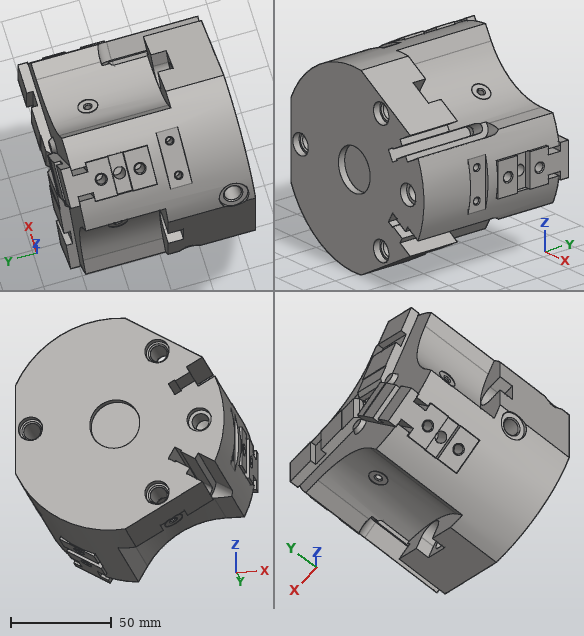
import cadquery as cq
import math


JAW_ANGLES = (0, 120, 240)
SCALLOP_ANGLES = (60, 180, 300)
BRACKET_ANGLES = (0, 120)
SENSOR_ANGLES = (30, 330)

BODY_RADIUS = 55.0
FLAT_DISTANCE = 50.0
COVER_BOTTOM = 78.6
COVER_TOP = 86.4
REACH = 2 * BODY_RADIUS

JAW_WIDTH = 20.1
JAW_TIP = 5.8
JAW_END = 55.4
JAW_BOTTOM = 46.7
JAW_TOP = 91.5
NECK_WIDTH = 10.8
COVER_SLOT_WIDTH = 16.2
JAW_TIP_BEVEL = 2.1
TIP_STEP_RADIUS = 16.5
TIP_STEP_DEPTH = 0.3
KEYWAY_RADIUS = 36.0
KEYWAY_WIDTH = 7.9
KEYWAY_DEPTH = 3.3
END_GROOVE_CENTER = 63.1
END_GROOVE_HEIGHT = 7.9
END_GROOVE_DEPTH = 3.5
END_HOLE_PITCH = 10.0
END_HOLE_DIAMETER = 5.0
END_HOLE_COUNTERSINK = 6.0
GROOVE_HOLE_DIAMETER = 6.0
END_HOLE_DEPTH = 13.2

SCALLOP_WALL_OFFSET = 24.1
SCALLOP_WALL_LENGTH = 9.1
SCALLOP_FLOORS = {60: 30.0, 180: 45.2, 300: 30.0}
SCALLOP_HOLE_HEIGHT = 66.6
SCALLOP_SPOT_DIAMETER = 10.0
SCALLOP_SPOT_DEPTH = 0.1
SCALLOP_HOLE_DIAMETER = 3.3
SCALLOP_HOLE_RIM = 4.4
SCALLOP_HOLE_DEPTH = 8.8

MOUNT_CIRCLE_RADIUS = 42.5
MOUNT_HOLE_DIAMETER = 8.5
MOUNT_RIM_DIAMETER = 10.0
MOUNT_BORE_DIAMETER = 12.1
MOUNT_BORE_DEPTH = 4.0
BLIND_HOLE_DEPTH = 15.4
DRILL_POINT_ANGLE = 118
HEAD_SLOT_WIDTH = 14.1
HEAD_SLOT_DEPTH = 7.9
CENTER_RECESS_DIAMETER = 25.1
CENTER_RECESS_DEPTH = 4.0

BRACKET_FLAT_DISTANCE = 53.0
BRACKET_FLAT_BOTTOM = 29.6
BRACKET_FLAT_TOP = 40.7
BRACKET_HOLE_SPACING = 17.9
BRACKET_HOLE_DIAMETER = 3.3
BRACKET_HOLE_COUNTERSINK = 4.3
BRACKET_HOLE_DEPTH = 8.8

AIR_PORTS = ((150, 10.5), (210, 34.1))
PORT_SPOT_DISTANCE = 53.0
PORT_SPOT_DIAMETER = 15.1
PORT_HOLE_DIAMETER = 8.7
PORT_COUNTERSINK = 9.9
PORT_DEPTH = 11.2

CHANNEL_TOP_CENTER = 47.2
CHANNEL_WIDTH = 11.9
CHANNEL_FLOOR = 45.1
SENSOR_SLOT_WIDTH = 5.3
SENSOR_HEAD_WIDTH = 6.6
SENSOR_HEAD_START = 33.0
SENSOR_HEAD_END = 36.7

SCREW_HEAD_BASE = 8.8
SCREW_HEAD_TOP = 5.7
SCREW_HEAD_HEIGHT = 2.4
SCREW_CIRCLE_RADIUS = 16.2


def radial_direction(angle):
    return cq.Vector(math.cos(math.radians(angle)), 0, math.sin(math.radians(angle)))


def axial_plane(angle, height):
    """Workplane facing +Y whose local x points outward at the given angle."""
    return cq.Workplane(cq.Plane((0, height, 0), radial_direction(angle), (0, 1, 0)))


def radial_plane(angle, distance, height):
    """Workplane facing outward whose local x is Y and local y is tangential."""
    outward = radial_direction(angle)
    origin = outward * distance + cq.Vector(0, height, 0)
    return cq.Workplane(cq.Plane(origin, (0, 1, 0), outward))


def radial_box(angle, start, end, width, bottom, top):
    """Box reaching outward from start to end, centred on the radial line."""
    return (
        axial_plane(angle, bottom)
        .center((start + end) / 2, 0)
        .rect(end - start, width)
        .extrude(top - bottom)
    )


def blind_hole(plane, diameter, depth, rim_diameter=None):
    """Cutter for a flat-bottomed hole going in from the plane, with an optional 45 degree rim."""
    hole = plane.circle(diameter / 2).extrude(-depth)
    if rim_diameter:
        rim_depth = (rim_diameter - diameter) / 2
        hole = hole.union(plane.circle(rim_diameter / 2).extrude(-rim_depth, taper=45))
    return hole


def jaw_profile():
    """Side outline of a jaw as (radius, height) points, starting at the lower inner corner."""
    groove_floor = JAW_END - END_GROOVE_DEPTH
    groove_bottom = END_GROOVE_CENTER - END_GROOVE_HEIGHT / 2
    groove_top = END_GROOVE_CENTER + END_GROOVE_HEIGHT / 2
    keyway_outer = KEYWAY_RADIUS + KEYWAY_WIDTH / 2
    keyway_inner = KEYWAY_RADIUS - KEYWAY_WIDTH / 2
    keyway_floor = JAW_TOP - KEYWAY_DEPTH
    tip_top = JAW_TOP - TIP_STEP_DEPTH
    return [
        (JAW_TIP, JAW_BOTTOM),
        (JAW_END, JAW_BOTTOM),
        (JAW_END, groove_bottom),
        (groove_floor, groove_bottom),
        (groove_floor, groove_top),
        (JAW_END, groove_top),
        (JAW_END, JAW_TOP),
        (keyway_outer, JAW_TOP),
        (keyway_outer, keyway_floor),
        (keyway_inner, keyway_floor),
        (keyway_inner, JAW_TOP),
        (TIP_STEP_RADIUS, JAW_TOP),
        (TIP_STEP_RADIUS, tip_top),
        (JAW_TIP + JAW_TIP_BEVEL, tip_top),
        (JAW_TIP, tip_top - JAW_TIP_BEVEL),
    ]


def make_jaw(angle):
    outward = radial_direction(angle)
    side_plane = cq.Plane((0, 0, 0), outward, outward.cross(cq.Vector(0, 1, 0)))
    jaw = cq.Workplane(side_plane).polyline(jaw_profile()).close().extrude(JAW_WIDTH / 2, both=True)

    grooves = radial_box(angle, 0, REACH, REACH, COVER_BOTTOM, COVER_TOP)
    neck = radial_box(angle, 0, REACH, NECK_WIDTH, COVER_BOTTOM, COVER_TOP)
    jaw = jaw.cut(grooves.cut(neck))

    for offset in (-END_HOLE_PITCH, END_HOLE_PITCH):
        end_plane = radial_plane(angle, JAW_END, END_GROOVE_CENTER + offset)
        jaw = jaw.cut(blind_hole(end_plane, END_HOLE_DIAMETER, END_HOLE_DEPTH, END_HOLE_COUNTERSINK))
    groove_plane = radial_plane(angle, JAW_END - END_GROOVE_DEPTH, END_GROOVE_CENTER)
    return jaw.cut(blind_hole(groove_plane, GROOVE_HOLE_DIAMETER, END_HOLE_DEPTH))


def scallop_points():
    """Upper wall overrun, upper arc end and deepest radius, in (outward, tangential) coordinates."""
    corner_angle = math.radians(60) - math.asin(SCALLOP_WALL_OFFSET / BODY_RADIUS)
    corner = (BODY_RADIUS * math.cos(corner_angle), BODY_RADIUS * math.sin(corner_angle))
    wall = (math.cos(math.radians(60)), math.sin(math.radians(60)))
    arc_start = (corner[0] - SCALLOP_WALL_LENGTH * wall[0], corner[1] - SCALLOP_WALL_LENGTH * wall[1])
    overrun = (corner[0] + BODY_RADIUS * wall[0], corner[1] + BODY_RADIUS * wall[1])
    arc_radius = arc_start[1] / wall[0]
    bottom = arc_start[0] + arc_radius * wall[1] - arc_radius
    return overrun, arc_start, bottom


def scallop(angle):
    """Hollow with straight walls parallel to the neighbouring jaws, joined by a tangent arc."""
    (x_out, y_out), (x_arc, y_arc), bottom = scallop_points()
    floor = SCALLOP_FLOORS[angle]
    return (
        axial_plane(angle, floor)
        .moveTo(x_out, y_out)
        .lineTo(x_arc, y_arc)
        .threePointArc((bottom, 0), (x_arc, -y_arc))
        .lineTo(x_out, -y_out)
        .close()
        .extrude(REACH)
    )


def scallop_hole(angle):
    """Small hole in a shallow spotface at the deepest line of a scallop."""
    bottom = scallop_points()[2]
    plane = radial_plane(angle, bottom - SCALLOP_SPOT_DEPTH, SCALLOP_HOLE_HEIGHT)
    spot = plane.circle(SCALLOP_SPOT_DIAMETER / 2).extrude(BODY_RADIUS - bottom)
    return spot.union(blind_hole(plane, SCALLOP_HOLE_DIAMETER, SCALLOP_HOLE_DEPTH, SCALLOP_HOLE_RIM))


def mounting_hole(angle):
    """Counterbored through hole that ends in an open slot for the screw head."""
    floor = SCALLOP_FLOORS[angle]
    slot_floor = floor - HEAD_SLOT_DEPTH
    face = axial_plane(angle, 0).center(MOUNT_CIRCLE_RADIUS, 0)
    bore_floor = axial_plane(angle, MOUNT_BORE_DEPTH).center(MOUNT_CIRCLE_RADIUS, 0)
    rim_depth = (MOUNT_RIM_DIAMETER - MOUNT_HOLE_DIAMETER) / 2
    slot_plane = axial_plane(angle, slot_floor).center(MOUNT_CIRCLE_RADIUS, 0)

    hole = face.circle(MOUNT_HOLE_DIAMETER / 2).extrude(floor)
    bore = face.circle(MOUNT_BORE_DIAMETER / 2).extrude(MOUNT_BORE_DEPTH)
    rim = bore_floor.circle(MOUNT_RIM_DIAMETER / 2).extrude(rim_depth, taper=45)
    slot_end = slot_plane.circle(HEAD_SLOT_WIDTH / 2).extrude(HEAD_SLOT_DEPTH)
    slot = radial_box(angle, MOUNT_CIRCLE_RADIUS, REACH, HEAD_SLOT_WIDTH, slot_floor, floor)
    return hole.union(bore).union(rim).union(slot_end).union(slot)


def blind_mounting_hole(angle):
    """Counterbored hole with a drill point."""
    radius = MOUNT_HOLE_DIAMETER / 2
    point = radius / math.tan(math.radians(DRILL_POINT_ANGLE / 2))
    bore_radius = MOUNT_BORE_DIAMETER / 2
    x = MOUNT_CIRCLE_RADIUS
    profile = [
        (x, 0),
        (x + bore_radius, 0),
        (x + bore_radius, MOUNT_BORE_DEPTH),
        (x + radius, MOUNT_BORE_DEPTH),
        (x + radius, BLIND_HOLE_DEPTH),
        (x, BLIND_HOLE_DEPTH + point),
    ]
    hole = cq.Workplane("XY").polyline(profile).close().revolve(360, (x, 0), (x, 1))
    return hole.rotate((0, 0, 0), (0, 1, 0), -angle)


def bracket_flat(angle):
    """Flat across the round side with two countersunk screw holes."""
    cutter = radial_box(angle, BRACKET_FLAT_DISTANCE, REACH, REACH, BRACKET_FLAT_BOTTOM, BRACKET_FLAT_TOP)
    middle = (BRACKET_FLAT_BOTTOM + BRACKET_FLAT_TOP) / 2
    for side in (-1, 1):
        plane = radial_plane(angle, BRACKET_FLAT_DISTANCE, middle).center(0, side * BRACKET_HOLE_SPACING / 2)
        cutter = cutter.union(
            blind_hole(plane, BRACKET_HOLE_DIAMETER, BRACKET_HOLE_DEPTH, BRACKET_HOLE_COUNTERSINK)
        )
    return cutter


def air_port(angle, height):
    """Countersunk port in a flat spotface."""
    plane = radial_plane(angle, PORT_SPOT_DISTANCE, height)
    spot = plane.circle(PORT_SPOT_DIAMETER / 2).extrude(BODY_RADIUS)
    return spot.union(blind_hole(plane, PORT_HOLE_DIAMETER, PORT_DEPTH, PORT_COUNTERSINK))


def round_ended_slot(angle, start, end, width):
    """Slot from the mounting face with a half-round upper end."""
    straight = radial_box(angle, start, end, width, 0, CHANNEL_TOP_CENTER)
    top = radial_plane(angle, start, CHANNEL_TOP_CENTER).circle(width / 2).extrude(end - start)
    return straight.union(top)


def sensor_channel(angle):
    """Wide channel with a narrower T-shaped slot in its floor."""
    channel = round_ended_slot(angle, CHANNEL_FLOOR, REACH, CHANNEL_WIDTH)
    slot = round_ended_slot(angle, SENSOR_HEAD_END, CHANNEL_FLOOR, SENSOR_SLOT_WIDTH)
    head = round_ended_slot(angle, SENSOR_HEAD_START, SENSOR_HEAD_END, SENSOR_HEAD_WIDTH)
    return channel.union(slot).union(head)


def screw_head(angle):
    center = radial_direction(angle) * SCREW_CIRCLE_RADIUS + cq.Vector(0, COVER_TOP, 0)
    head = cq.Solid.makeCone(
        SCREW_HEAD_BASE / 2, SCREW_HEAD_TOP / 2, SCREW_HEAD_HEIGHT, center, cq.Vector(0, 1, 0)
    )
    return cq.Workplane(head)


def jaw_guide(angle):
    """Clearance of a jaw: wide under the cover, narrower through it, wide again above it."""
    lower = radial_box(angle, 0, REACH, JAW_WIDTH, JAW_BOTTOM, COVER_BOTTOM)
    middle = radial_box(angle, 0, REACH, COVER_SLOT_WIDTH, COVER_BOTTOM, COVER_TOP)
    upper = radial_box(angle, 0, REACH, JAW_WIDTH, COVER_TOP, JAW_TOP)
    return lower.union(middle).union(upper)


def make_housing():
    housing = axial_plane(0, 0).circle(BODY_RADIUS).extrude(COVER_TOP)
    for angle in SCALLOP_ANGLES:
        housing = housing.cut(radial_box(angle, FLAT_DISTANCE, REACH, REACH, 0, SCALLOP_FLOORS[angle]))
        housing = housing.cut(scallop(angle))
        housing = housing.cut(mounting_hole(angle))
        housing = housing.cut(scallop_hole(angle))
        housing = housing.union(screw_head(angle))
    for angle in JAW_ANGLES:
        housing = housing.cut(jaw_guide(angle))
    for angle in BRACKET_ANGLES:
        housing = housing.cut(bracket_flat(angle))
    for angle in SENSOR_ANGLES:
        housing = housing.cut(sensor_channel(angle))
    for angle, height in AIR_PORTS:
        housing = housing.cut(air_port(angle, height))
    housing = housing.cut(blind_mounting_hole(0))
    recess = axial_plane(0, 0).circle(CENTER_RECESS_DIAMETER / 2).extrude(CENTER_RECESS_DEPTH)
    return housing.cut(recess)


housing = make_housing()
jaws = [make_jaw(angle) for angle in JAW_ANGLES]
result = cq.Compound.makeCompound([housing.solids().val(), *[jaw.val() for jaw in jaws]])